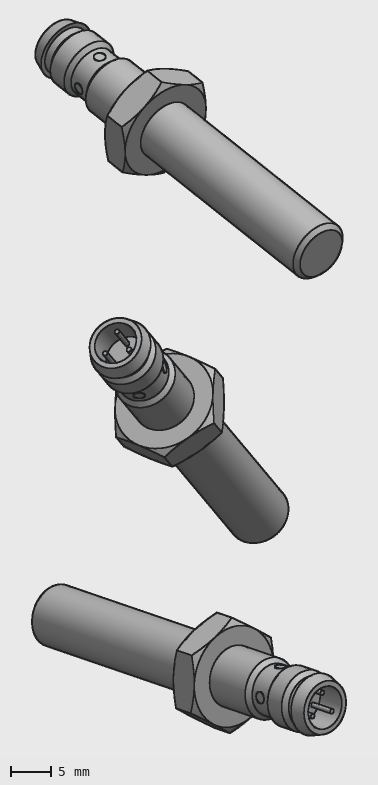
import cadquery as cq
import math

LENGTH = 52.0
BODY_DIAMETER = 8.0
NECK_DIAMETER = 6.75
LIP_TIP_DIAMETER = 6.9
LIP_LENGTH = 1.8
COLLAR_START = 3.0
COLLAR_END = 6.95
BARREL_START = 10.0
END_CHAMFER = 0.6

SOCKET_DIAMETER = 5.5
SOCKET_DEPTH = 4.15
PIN_DIAMETER = 0.6
PIN_CIRCLE_RADIUS = 1.8
PIN_RECESS = 0.5
PIN_ANGLES = (90, 210, 330)

WINDOW_DIAMETER = 1.5
WINDOW_SPAN = 6.8
WINDOW_COUNT = 4

NUT_START = 17.4
NUT_THICKNESS = 4.0
NUT_FLATS = 13.0
NUT_CHAMFER_ANGLE = 30.0
NUT_TURN = 1.2


def make_profile():
    """Solid of revolution that forms the outside of the housing."""
    body_radius = BODY_DIAMETER / 2
    neck_radius = NECK_DIAMETER / 2
    bevel = body_radius - neck_radius
    outline = [
        (0, 0),
        (0, LIP_TIP_DIAMETER / 2),
        (LIP_LENGTH, body_radius),
        (LIP_LENGTH, neck_radius),
        (COLLAR_START, neck_radius),
        (COLLAR_START + bevel, body_radius),
        (COLLAR_END - bevel, body_radius),
        (COLLAR_END, neck_radius),
        (BARREL_START, neck_radius),
        (BARREL_START + bevel, body_radius),
        (LENGTH - END_CHAMFER, body_radius),
        (LENGTH, body_radius - END_CHAMFER),
        (LENGTH, 0),
    ]
    return cq.Workplane("XY").polyline(outline).close().revolve(360, (0, 0, 0), (1, 0, 0))


def make_socket():
    """Round cavity in the connector end."""
    return cq.Workplane("YZ").circle(SOCKET_DIAMETER / 2).extrude(SOCKET_DEPTH)


def make_pin(angle):
    """Contact pin standing on the socket floor."""
    y = PIN_CIRCLE_RADIUS * math.cos(math.radians(angle))
    z = PIN_CIRCLE_RADIUS * math.sin(math.radians(angle))
    root = SOCKET_DEPTH + PIN_DIAMETER
    pin = cq.Workplane("YZ", origin=(PIN_RECESS, y, z)).circle(PIN_DIAMETER / 2)
    return pin.extrude(root - PIN_RECESS)


def make_window(angle):
    """Flat-faced round window, slightly proud of the neck."""
    middle = (COLLAR_END + BARREL_START) / 2
    root = (NECK_DIAMETER - WINDOW_DIAMETER) / 2
    window = cq.Workplane("XY", origin=(middle, 0, root)).circle(WINDOW_DIAMETER / 2)
    return window.extrude(WINDOW_SPAN / 2 - root).rotate((0, 0, 0), (1, 0, 0), angle)


def make_housing():
    housing = make_profile().cut(make_socket())
    for angle in PIN_ANGLES:
        housing = housing.union(make_pin(angle))
    for index in range(WINDOW_COUNT):
        housing = housing.union(make_window(index * 360 / WINDOW_COUNT))
    return housing


def make_nut():
    """Hexagon nut with both faces chamfered, bored to fit the housing."""
    corner_radius = NUT_FLATS / 2 / math.cos(math.pi / 6)
    face_radius = NUT_FLATS / 2
    chamfer_depth = (corner_radius - face_radius) * math.tan(math.radians(NUT_CHAMFER_ANGLE))
    nut_end = NUT_START + NUT_THICKNESS
    hexagon = (
        cq.Workplane("YZ", origin=(NUT_START, 0, 0))
        .polygon(6, 2 * corner_radius)
        .circle(BODY_DIAMETER / 2)
        .extrude(NUT_THICKNESS)
        .rotate((0, 0, 0), (1, 0, 0), 90 + NUT_TURN)
    )
    envelope_outline = [
        (NUT_START, 0),
        (NUT_START, face_radius),
        (NUT_START + chamfer_depth, corner_radius),
        (nut_end - chamfer_depth, corner_radius),
        (nut_end, face_radius),
        (nut_end, 0),
    ]
    envelope = cq.Workplane("XY").polyline(envelope_outline).close().revolve(360, (0, 0, 0), (1, 0, 0))
    return hexagon.intersect(envelope)


housing = make_housing()
nut = make_nut()

result = cq.Compound.makeCompound([housing.val(), nut.val()])